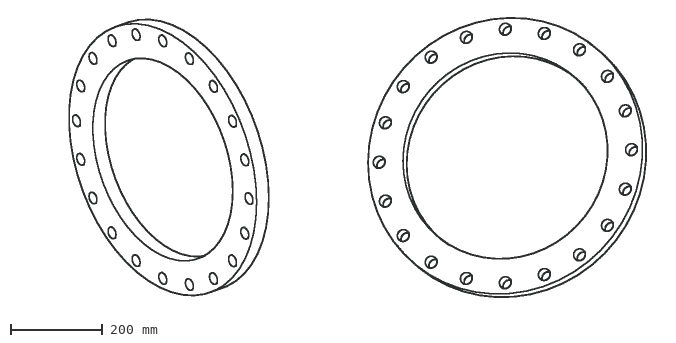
import cadquery as cq

outer_diameter = 615.0
bore_diameter = 458.0
thickness = 36.0

bolt_circle_diameter = 565.0
bolt_hole_diameter = 26.0
bolt_hole_count = 20


def make_ring():
    """Plain ring, extruded from Y = 0 towards +Y."""
    return (
        cq.Workplane("XZ")
        .circle(outer_diameter / 2)
        .circle(bore_diameter / 2)
        .extrude(-thickness)
    )


def make_bolt_holes():
    """Cylinders through the full thickness, one at each bolt position."""
    return (
        cq.Workplane("XZ")
        .polarArray(bolt_circle_diameter / 2, 0, 360, bolt_hole_count)
        .circle(bolt_hole_diameter / 2)
        .extrude(-thickness)
    )


result = make_ring().cut(make_bolt_holes())